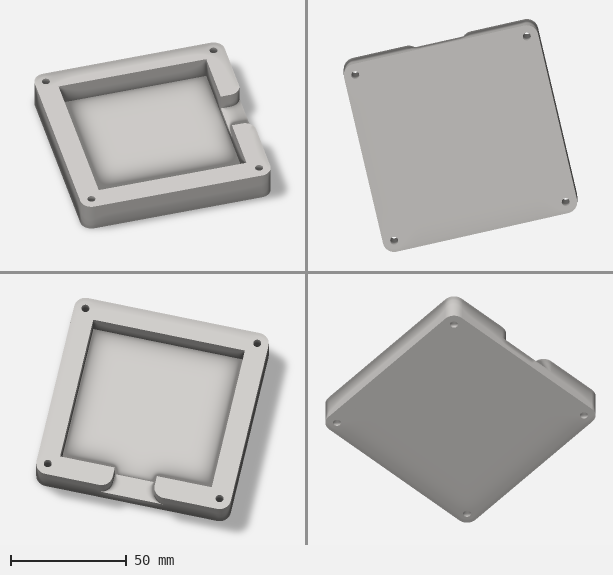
import cadquery as cq

length = 86.05
width = 85.0
height = 13.0
corner_radius = 5.0

wall = 9.5
floor_thickness = 3.0
pocket_length = length - 2 * wall
pocket_width = width - 2 * wall

notch_width = 18.6
notch_floor = 5.9
mouth_radius = 5.0

hole_diameter = 3.4
hole_spacing_x = length - 2 * corner_radius
hole_spacing_y = width - 2 * corner_radius


def make_block():
    block = cq.Workplane("XY").box(length, width, height, centered=(True, True, False))
    return block.edges("|Z").fillet(corner_radius)


def make_pocket():
    return (
        cq.Workplane("XY", origin=(0, 0, floor_thickness))
        .rect(pocket_length, pocket_width)
        .extrude(height - floor_thickness)
    )


def make_notch():
    """Passage from the pocket to the outside, flaring at the outer face."""
    half_width = notch_width / 2
    inner_y = pocket_width / 2
    outer_y = width / 2
    return (
        cq.Workplane("XY", origin=(0, 0, notch_floor))
        .moveTo(-half_width, inner_y)
        .lineTo(half_width, inner_y)
        .lineTo(half_width, outer_y - mouth_radius)
        .radiusArc((half_width + mouth_radius, outer_y), mouth_radius)
        .lineTo(-half_width - mouth_radius, outer_y)
        .radiusArc((-half_width, outer_y - mouth_radius), mouth_radius)
        .close()
        .extrude(height - notch_floor)
    )


def make_corner_holes():
    return (
        cq.Workplane("XY")
        .rect(hole_spacing_x, hole_spacing_y, forConstruction=True)
        .vertices()
        .circle(hole_diameter / 2)
        .extrude(height)
    )


result = make_block().cut(make_pocket()).cut(make_notch()).cut(make_corner_holes())